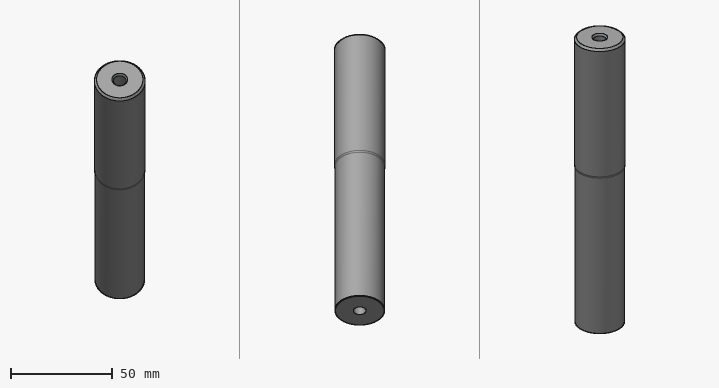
import cadquery as cq

length = 160
head_diameter = 25.0
shank_diameter = 24.5

head_length = 71.5
step_taper_length = 1.0
top_chamfer = 1.1
bottom_chamfer = 0.3

bore_diameter = 6.2
mouth_diameter = 7.7
mouth_depth = 1.1

head_radius = head_diameter / 2
shank_radius = shank_diameter / 2
bore_radius = bore_diameter / 2
mouth_radius = mouth_diameter / 2
head_base = length - head_length
shank_top = head_base - step_taper_length

half_section = (
    cq.Workplane("XZ")
    .moveTo(bore_radius, 0)
    .lineTo(shank_radius - bottom_chamfer, 0)
    .lineTo(shank_radius, bottom_chamfer)
    .lineTo(shank_radius, shank_top)
    .lineTo(head_radius, head_base)
    .lineTo(head_radius, length - top_chamfer)
    .lineTo(head_radius - top_chamfer, length)
    .lineTo(mouth_radius, length)
    .lineTo(bore_radius, length - mouth_depth)
    .close()
)

result = half_section.revolve(360, (0, 0, 0), (0, 1, 0))